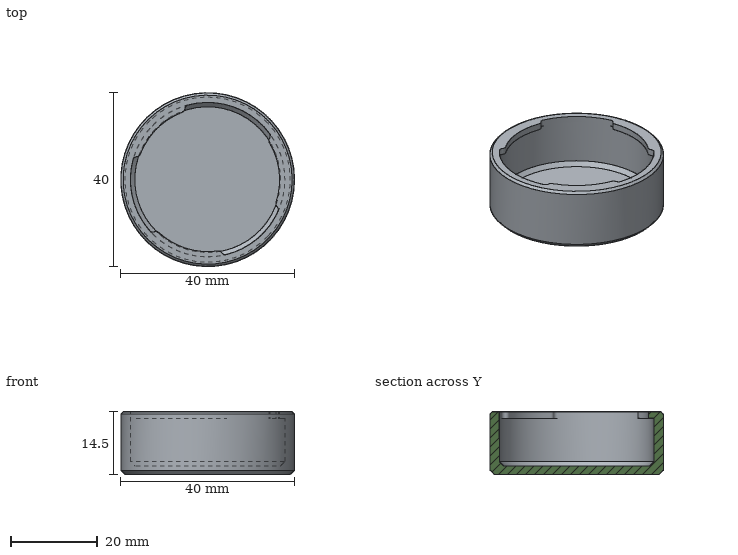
import cadquery as cq
import math

outer_radius = 20.0
height = 14.5
top_chamfer = 0.55
bottom_chamfer = 1.0

cavity_radius = 17.75
lip_radius = 16.55
lip_thickness = 1.5
floor_height = 2.0
floor_chamfer = 1.0

gap_spans = [(33.5, 108.0), (161.7, 224.7), (280.7, 339.0)]
gap_root_fillet = 1.0
lip_corner_fillet = 1.0


def make_body():
    body = cq.Workplane("XY").circle(outer_radius).extrude(height)
    body = body.faces(">Z").chamfer(top_chamfer)
    return body.faces("<Z").chamfer(bottom_chamfer)


def make_cavity():
    """Space under the lip, bevelled where the wall meets the floor."""
    cavity_height = height - lip_thickness - floor_height
    cavity = cq.Workplane("XY").workplane(offset=floor_height).circle(cavity_radius).extrude(cavity_height)
    return cavity.faces("<Z").chamfer(floor_chamfer)


def polar_point(radius, angle):
    return (radius * math.cos(math.radians(angle)), radius * math.sin(math.radians(angle)))


def make_gap(start, end):
    """Sector running from the part axis out to the cavity wall, through the lip."""
    middle = (start + end) / 2
    return (
        cq.Workplane("XY")
        .workplane(offset=height - lip_thickness)
        .lineTo(*polar_point(cavity_radius, start))
        .threePointArc(polar_point(cavity_radius, middle), polar_point(cavity_radius, end))
        .close()
        .extrude(lip_thickness)
    )


def make_mouth():
    """Lip opening with its gaps, rounded at the gap roots and at the lip corners."""
    mouth = cq.Workplane("XY").workplane(offset=height - lip_thickness).circle(lip_radius).extrude(lip_thickness)
    for start, end in gap_spans:
        mouth = mouth.union(make_gap(start, end))
    corner_radius = (lip_radius + cavity_radius) / 2
    inner_zone = cq.Workplane("XY").circle(corner_radius).extrude(height).val()

    def is_lip_corner(edge):
        return inner_zone.isInside(edge.Center())

    def fillet_upright_edges(solid, radius, lip_corners):
        edges = solid.edges("|Z").filter(lambda edge: is_lip_corner(edge) == lip_corners)
        return edges.fillet(radius)

    mouth = fillet_upright_edges(mouth, gap_root_fillet, False)
    return fillet_upright_edges(mouth, lip_corner_fillet, True)


result = make_body().cut(make_cavity()).cut(make_mouth())